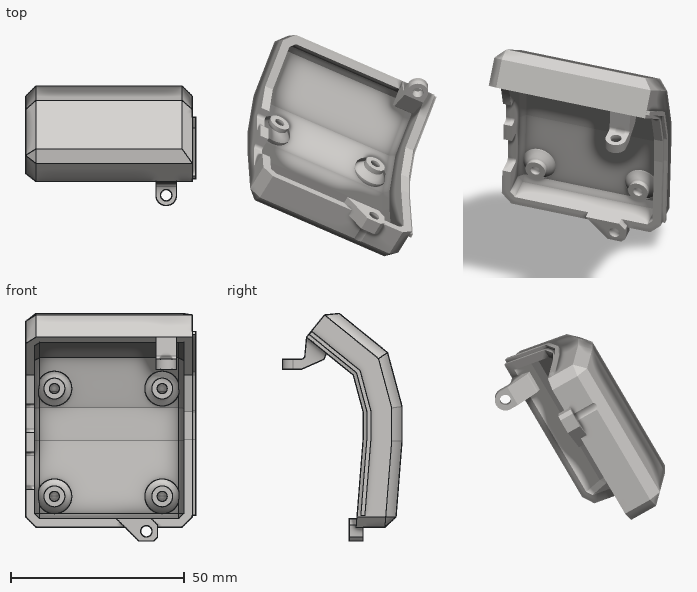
import math

import cadquery as cq

width = 48.0
depth = 11.25
wall = 2.5
corner_chamfer = 3.0
cavity_chamfer = corner_chamfer - wall * (2 - math.sqrt(2))

lower_tilt = math.radians(4.5)
upper_tilt = math.radians(15.0)
hood_tilt = math.radians(51.0)
lower_bend_z = 25.3
middle_bend_z = 33.25
upper_bend_z = 43.8
top_z = 61.54

cut_margin = 1.0

strip_width = 1.0
strip_front_inset = 1.1
strip_back_inset = 2.25
strip_fold_radius = 2.0
strip_bottom_z = 3.4
strip_end_gap = 0.15

boss_spacing = 31.0
boss_middle_x = 23.8
boss_bottom_z = 8.9
boss_diameter = 6.0
boss_base_diameter = 10.0
boss_hole_diameter = 2.9
boss_face_y = 4.0
boss_cone_tip_y = 5.5
boss_cone_base_y = 7.5

notches = [(27.25, 35.45, 2.4), (10.9, 21.7, 4.0)]
notch_fillet = 1.0

screw_hole_diameter = 3.2
lug_thickness = 4.0
lug_bottom_z = -4.0
lug_right_x = 38.0
lug_foot_left_x = 32.6
lug_foot_right_x = 36.85
lug_flank_bottom_z = -2.85
lug_flank_top_z = 0.65
lug_hole_x = 34.75
lug_hole_z = -1.15

total_y = 34.45
arm_x = 40.45
arm_width = 6.0
arm_bottom_z = 45.4
arm_thickness = 3.0
arm_step_y = -16.85
arm_heel_y = -17.75
arm_knee_y = -11.2
arm_knee_z = 48.3
arm_root_y = -10.5
arm_fillet = 0.9


def stretch_end(start, tilt, rise):
    """Point reached from start by going up by rise along a line tilted toward -Y."""
    return (start[0] - rise * math.tan(tilt), start[1] + rise)


def parallel(points, distance):
    """Bent line parallel to points, moved toward the back, with its ends square to the line's."""
    tilts = []
    for (y0, z0), (y1, z1) in zip(points, points[1:]):
        tilts.append(math.atan2(y0 - y1, z1 - z0))
    moved = []
    for point, before, after in zip(points, tilts[:1] + tilts, tilts + tilts[-1:]):
        middle = (before + after) / 2
        reach = distance / math.cos((after - before) / 2)
        moved.append((point[0] + reach * math.cos(middle), point[1] + reach * math.sin(middle)))
    return moved


def cut_at_height(points, z):
    """Bent line with its first stretch moved along itself to start at height z."""
    (y0, z0), (y1, z1) = points[:2]
    return [(y0 + (y1 - y0) * (z - z0) / (z1 - z0), z)] + points[1:]


def shortened(points, length):
    """Bent line with the upper end, which runs along the hood, drawn back by length."""
    y, z = points[-1]
    return points[:-1] + [(y + length * math.sin(hood_tilt), z - length * math.cos(hood_tilt))]


def midpoint(a, b):
    return ((a[0] + b[0]) / 2, (a[1] + b[1]) / 2)


lower_bend = (0.0, lower_bend_z)
middle_bend = (0.0, middle_bend_z)
upper_bend = stretch_end(middle_bend, upper_tilt, upper_bend_z - middle_bend_z)
rim_top_z = top_z - depth * math.sin(hood_tilt) + corner_chamfer * math.cos(hood_tilt)
rim_top = stretch_end(upper_bend, hood_tilt, rim_top_z - upper_bend_z)
rim_bottom = stretch_end(lower_bend, -lower_tilt, -lower_bend_z)
rim = [rim_bottom, lower_bend, middle_bend, upper_bend, rim_top]
back = cut_at_height(parallel(rim, depth), 0.0)


def along_x(outline, x_start, x_end):
    """Prism along X from x_start to x_end with the given (y, z) outline."""
    return cq.Workplane("YZ").workplane(offset=x_start).polyline(outline).close().extrude(x_end - x_start)


def chamfered_block(front, rear, x_start, x_end, chamfer):
    """Prism between two bent lines, chamfered all over but for its front and its +X end corner."""
    block = along_x(front + rear[::-1], x_start, x_end)
    side_edges = [midpoint(a, b) for a, b in zip(rear, rear[1:])]
    side_edges.append(midpoint(front[0], rear[0]))
    end_edge = midpoint(front[-1], rear[-1])
    spots = [(x, y, z) for x in (x_start, x_end) for y, z in side_edges]
    spots.append((x_start, *end_edge))
    spots += [((x_start + x_end) / 2, y, z) for y, z in (rear[0], rear[-1])]
    edges = [block.edges(cq.NearestToPointSelector(spot)).val() for spot in spots]
    return block.newObject(edges).chamfer(chamfer)


def make_shell():
    body = chamfered_block(rim, back, 0, width, corner_chamfer)
    cavity_front = shortened(cut_at_height(parallel(rim, -cut_margin), wall), wall)
    cavity_back = shortened(cut_at_height(parallel(rim, depth - wall), wall), wall)
    cavity = chamfered_block(cavity_front, cavity_back, wall, width - wall, cavity_chamfer)
    return body.cut(cavity)


def make_strip():
    front = shortened(cut_at_height(parallel(rim, strip_front_inset), strip_bottom_z), strip_end_gap)
    rear = shortened(cut_at_height(parallel(rim, strip_back_inset), strip_bottom_z), strip_end_gap)
    strip = along_x(front + rear[::-1], width - wall / 2, width + strip_width)
    for y, z in (front[2], front[3]):
        spot = cq.NearestToPointSelector((width, y, z))
        strip = strip.edges("|X").edges(spot).fillet(strip_fold_radius)
    return strip


def cylinder_y(x, z, diameter, y_start, y_end):
    """Cylinder along Y between two Y positions."""
    start = cq.Vector(x, y_start, z)
    return cq.Workplane(cq.Solid.makeCylinder(diameter / 2, y_end - y_start, start, cq.Vector(0, 1, 0)))


def boss_positions():
    for x in (boss_middle_x - boss_spacing / 2, boss_middle_x + boss_spacing / 2):
        for z in (boss_bottom_z, boss_bottom_z + boss_spacing):
            yield x, z


def make_boss_recess(x, z):
    """Flat-bottomed recess in the back wall, as wide as the boss; it spares the cavity's chamfers."""
    recess = cylinder_y(x, z, boss_base_diameter, boss_face_y, boss_cone_base_y)
    side = wall + cavity_chamfer
    panel_zone = cq.Workplane("XY").box(width - 2 * side, depth, top_z, centered=False)
    return recess.intersect(panel_zone.translate((side, 0, 0)))


def make_boss(x, z):
    tip = cq.Vector(x, boss_cone_tip_y, z)
    cone = cq.Solid.makeCone(
        boss_diameter / 2, boss_base_diameter / 2, boss_cone_base_y - boss_cone_tip_y, tip, cq.Vector(0, 1, 0)
    )
    boss = cylinder_y(x, z, boss_diameter, boss_face_y, boss_cone_tip_y).union(cq.Workplane(cone))
    base = cylinder_y(x, z, boss_base_diameter, boss_cone_base_y, depth)
    boss = boss.union(base.intersect(along_x(rim + back[::-1], 0, width)))
    return boss.cut(cylinder_y(x, z, boss_hole_diameter, boss_face_y, depth))


def cut_notches(body):
    front_y = rim_bottom[0] - cut_margin
    for bottom_z, notch_top_z, floor_y in notches:
        outline = [(front_y, bottom_z), (floor_y, bottom_z), (floor_y, notch_top_z), (front_y, notch_top_z)]
        body = body.cut(along_x(outline, 0, wall).edges("|X and >Y").fillet(notch_fillet))
    tooth_bottom = notches[1][1]
    tooth_top = notches[0][0]
    proud = [(front_y, tooth_bottom), (0, tooth_bottom), (0, tooth_top), (front_y, tooth_top)]
    return body.cut(along_x(proud, 0, wall))


def make_lug():
    foot_to_top = wall - lug_bottom_z
    outline = [
        (lug_foot_left_x, lug_bottom_z),
        (lug_foot_right_x, lug_bottom_z),
        (lug_right_x, lug_flank_bottom_z),
        (lug_right_x, lug_flank_top_z),
        (lug_right_x - (wall - lug_flank_top_z), wall),
        (lug_foot_left_x - foot_to_top, wall),
    ]
    return cq.Workplane("XZ").polyline(outline).close().extrude(lug_thickness)


def make_arm():
    end_y = depth - total_y
    tongue_top = arm_bottom_z + arm_thickness
    hole_y = end_y + arm_width / 2
    root_z = upper_bend[1] + (upper_bend[0] - arm_root_y) / math.tan(hood_tilt)
    outline = [
        (end_y, arm_bottom_z),
        (end_y, tongue_top),
        (arm_step_y, tongue_top),
        rim_top,
        (arm_root_y, root_z),
        (arm_knee_y, arm_knee_z),
        (arm_heel_y, arm_bottom_z),
    ]
    arm = along_x(outline, arm_x - arm_width / 2, arm_x + arm_width / 2)
    for y, z in ((arm_step_y, tongue_top), (arm_knee_y, arm_knee_z)):
        arm = arm.edges("|X").edges(cq.NearestToPointSelector((arm_x, y, z))).fillet(arm_fillet)
    plan = (
        cq.Workplane("XY")
        .moveTo(arm_x - arm_width / 2, 0)
        .lineTo(arm_x - arm_width / 2, hole_y)
        .threePointArc((arm_x, end_y), (arm_x + arm_width / 2, hole_y))
        .lineTo(arm_x + arm_width / 2, 0)
        .close()
        .extrude(top_z)
    )
    hole = cq.Workplane("XY").center(arm_x, hole_y).circle(screw_hole_diameter / 2).extrude(tongue_top)
    return arm.intersect(plan).cut(hole)


result = cut_notches(make_shell())
for x, z in boss_positions():
    result = result.cut(make_boss_recess(x, z))
for x, z in boss_positions():
    result = result.union(make_boss(x, z))
result = result.union(make_strip()).union(make_lug()).union(make_arm())
result = result.cut(cylinder_y(lug_hole_x, lug_hole_z, screw_hole_diameter, -lug_thickness, depth))